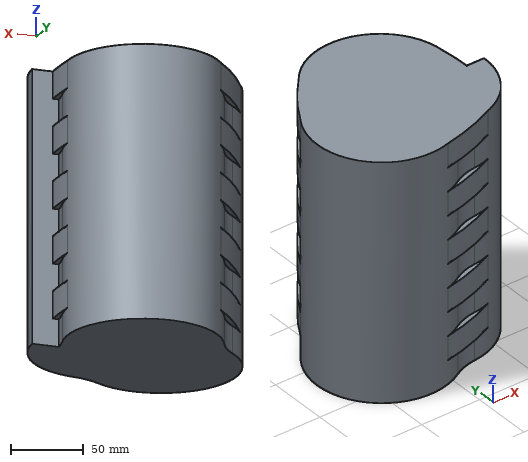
import cadquery as cq
import math


overall_width = 155.5
height = 200.0
layer_count = 10
lobe_radius = 56.0
valley_radius = 44.0
bulge_rise = 1.5
bulge_overlap = 1.6

lobe_pitch = 144.0
half_pitch = lobe_pitch / 2
lobe_angles = [half_pitch + i * lobe_pitch for i in range(3)]
step_angle = lobe_angles[-1]


def cos_deg(angle):
    return math.cos(math.radians(angle))


def sin_deg(angle):
    return math.sin(math.radians(angle))


lobe_offset = (overall_width - 2 * lobe_radius) / (1 - cos_deg(lobe_angles[1]))
layer_height = height / layer_count

join_center_distance = lobe_offset * cos_deg(half_pitch)
half_spacing = lobe_offset * sin_deg(half_pitch)

center_gap = lobe_radius + valley_radius
valley_turn = math.degrees(math.asin(half_spacing / center_gap))
valley_reach = join_center_distance + center_gap * cos_deg(valley_turn) - valley_radius

bulge_turn = -bulge_overlap
bulge_reach = join_center_distance + lobe_radius + bulge_rise


def polar(distance, angle):
    """Point at a distance and angle from the column axis."""
    return cq.Vector(distance * cos_deg(angle), distance * sin_deg(angle))


def layer(join_turn, join_reach):
    """One layer, standing on Z = 0.

    join_turn is the angle a lobe keeps turning past the line that touches it
    and its neighbour. join_reach is the distance from the axis to the middle
    of each join.
    """

    def lobe_point(lobe_angle, direction):
        return polar(lobe_offset, lobe_angle) + polar(lobe_radius, direction)

    step_inner = polar(join_reach, 0)
    step_outer = lobe_point(step_angle, step_angle)
    edges = []
    for lobe_angle in lobe_angles:
        is_step_lobe = lobe_angle == step_angle
        first_direction = lobe_angle - half_pitch - join_turn
        last_direction = lobe_angle if is_step_lobe else lobe_angle + half_pitch + join_turn
        lobe_start = lobe_point(lobe_angle, first_direction)
        lobe_middle = lobe_point(lobe_angle, (first_direction + last_direction) / 2)
        lobe_end = lobe_point(lobe_angle, last_direction)

        if edges:
            join_middle = polar(join_reach, lobe_angle - half_pitch)
            edges.append(cq.Edge.makeThreePointArc(previous_end, join_middle, lobe_start))
        else:
            edges.append(cq.Edge.makeTangentArc(step_inner, cq.Vector(0, 1), lobe_start))
        edges.append(cq.Edge.makeThreePointArc(lobe_start, lobe_middle, lobe_end))
        previous_end = lobe_end

    edges.append(cq.Edge.makeLine(step_outer, step_inner))
    outline = cq.Wire.assembleEdges(edges)
    return cq.Workplane("XY").add(outline).toPending().extrude(layer_height)


hollow_layer = layer(valley_turn, valley_reach)
bulging_layer = layer(bulge_turn, bulge_reach)

result = hollow_layer
for level in range(1, layer_count):
    next_layer = bulging_layer if level % 2 else hollow_layer
    result = result.union(next_layer.translate((0, 0, level * layer_height)))
result = result.clean()